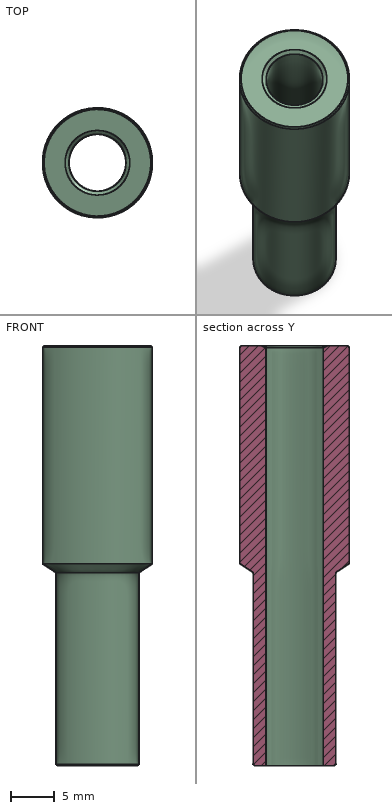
import cadquery as cq

total_height = 48.0
body_diameter = 12.6
shank_diameter = 9.5
bore_diameter = 6.5

shoulder_bottom = 22.1
shoulder_top = 23.1

outer_chamfer = 0.2
bore_mouth_diameter = 7.4
bore_chamfer_width = (bore_mouth_diameter - bore_diameter) / 2
bore_chamfer_depth = 0.25

body_radius = body_diameter / 2
shank_radius = shank_diameter / 2
bore_radius = bore_diameter / 2


def revolved_sleeve():
    """Revolve the half section of the sleeve, including its through bore."""
    half_section = [
        (bore_radius, 0),
        (shank_radius - outer_chamfer, 0),
        (shank_radius, outer_chamfer),
        (shank_radius, shoulder_bottom),
        (body_radius, shoulder_top),
        (body_radius, total_height - outer_chamfer),
        (body_radius - outer_chamfer, total_height),
        (bore_radius + bore_chamfer_width, total_height),
        (bore_radius, total_height - bore_chamfer_depth),
    ]
    profile = cq.Workplane("XZ").polyline(half_section).close()
    return profile.revolve(360, (0, 0, 0), (0, 1, 0))


result = revolved_sleeve()